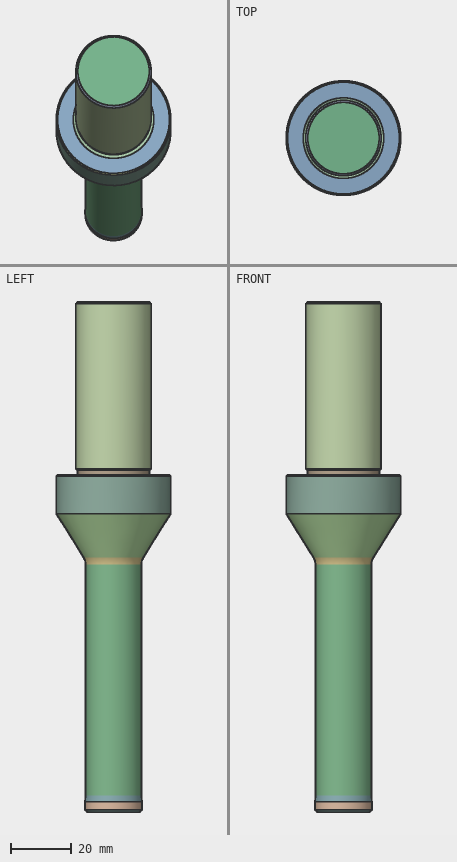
import cadquery as cq

TOTAL_LENGTH = 169.2
TIP_LENGTH = 3.5
TIP_TAPER_TOP = 5.5
CONE_BOTTOM = 83.4
COLLAR_BOTTOM = 99.0
COLLAR_TOP = 111.8
SHANK_BOTTOM = 113.3

TIP_RADIUS = 9.5
STEM_RADIUS = 9.3
COLLAR_RADIUS = 19.03
SHANK_RADIUS = 12.5
NECK_RADIUS = 12.0
UNDERCUT_RADIUS = 13.4

TIP_CHAMFER = 0.8
SHANK_CHAMFER = 0.7
COLLAR_CHAMFER = 0.5
CONE_BLEND_RADIUS = 4.4
UNDERCUT_DEPTH = 0.5
SELECTION_MARGIN = 0.2


def revolve_profile(points):
    """Turn a closed (radius, height) outline about the Z axis."""
    profile = cq.Workplane("XZ").polyline(points).close()
    return profile.revolve(360, (0, 0, 0), (0, 1, 0))


def make_tip():
    """Short disc at the lower end, chamfered on its bottom edge."""
    tip = cq.Workplane("XY").circle(TIP_RADIUS).extrude(TIP_LENGTH)
    return tip.faces("<Z").edges().chamfer(TIP_CHAMFER)


def make_holder():
    """Stem, cone, collar and shank, seated on the tip."""
    undercut_floor = COLLAR_TOP - UNDERCUT_DEPTH
    neck_taper = SHANK_RADIUS - NECK_RADIUS
    holder = revolve_profile([
        (0, TIP_LENGTH),
        (TIP_RADIUS, TIP_LENGTH),
        (STEM_RADIUS, TIP_TAPER_TOP),
        (STEM_RADIUS, CONE_BOTTOM),
        (COLLAR_RADIUS, COLLAR_BOTTOM),
        (COLLAR_RADIUS, COLLAR_TOP - COLLAR_CHAMFER),
        (COLLAR_RADIUS - COLLAR_CHAMFER, COLLAR_TOP),
        (UNDERCUT_RADIUS, COLLAR_TOP),
        (NECK_RADIUS, undercut_floor),
        (NECK_RADIUS, SHANK_BOTTOM),
        (SHANK_RADIUS, SHANK_BOTTOM + neck_taper),
        (SHANK_RADIUS, TOTAL_LENGTH - SHANK_CHAMFER),
        (SHANK_RADIUS - SHANK_CHAMFER, TOTAL_LENGTH),
        (0, TOTAL_LENGTH),
    ])
    cone_foot = cq.selectors.BoxSelector(
        (-COLLAR_RADIUS, -COLLAR_RADIUS, CONE_BOTTOM - SELECTION_MARGIN),
        (COLLAR_RADIUS, COLLAR_RADIUS, CONE_BOTTOM + SELECTION_MARGIN),
    )
    return holder.edges(cone_foot).fillet(CONE_BLEND_RADIUS)


tip = make_tip()
holder = make_holder()
result = cq.Compound.makeCompound([tip.val(), holder.val()])